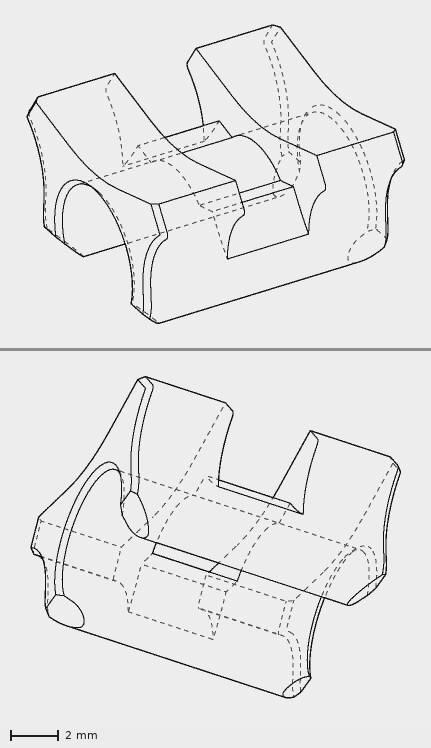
import cadquery as cq
import math

length = 11.99
overhang = 2.4
edge_chamfer = 0.24
foot_chamfer = 1.25
window_length = 3.98

bore_radius = 3.0
bore_z = 2.07

saddle_radius = 8.0
saddle_z = 6.09
wing_slope = math.radians(14.3)
wing_top_x = 5.04
wing_lean = math.radians(34.0)
wing_corner_z = 5.88
wing_corner_radius = 0.25

flank_radius = 3.72
waist_top = (4.36, 2.66)
waist_bottom = (4.41, 1.86)
foot_radius = 1.91
tip_radius = 0.5

window_drop = 2.0
stub_peak_x = 3.09
stub_face_end_x = 3.5
stub_cove_radius = 8.99
stub_cove_sweep = math.radians(10.0)


def toward(start, end, distance):
    """Point at a distance from start in the direction of end."""
    gap = math.dist(start, end)
    return tuple(s + (e - s) * distance / gap for s, e in zip(start, end))


def on_circle(center, radius, angle):
    return (center[0] + radius * math.cos(angle), center[1] + radius * math.sin(angle))


def arc_middle(center, radius, start, end):
    """Middle of the shorter arc between two points on a circle."""
    chord_middle = ((start[0] + end[0]) / 2, (start[1] + end[1]) / 2)
    return toward(center, chord_middle, radius)


def circle_meeting(center_a, radius_a, center_b, radius_b):
    """Lower meeting point of two circles, with center_b to the right of center_a."""
    gap = math.dist(center_a, center_b)
    along = (gap**2 + radius_a**2 - radius_b**2) / (2 * gap)
    bearing = math.atan2(center_b[1] - center_a[1], center_b[0] - center_a[0])
    return on_circle(center_a, radius_a, bearing - math.acos(along / radius_a))


def saddle_end(radius, bottom_z):
    """Point where a saddle arc runs into its straight wing."""
    return (radius * math.sin(wing_slope), bottom_z + radius * (1 - math.cos(wing_slope)))


def along_wing(start, x):
    return (x, start[1] + (x - start[0]) * math.tan(wing_slope))


def symmetric_body(steps, depth, bottom_z, closing_middle=None):
    """Extrude an outline symmetric about X = 0, centered on Y = 0.

    The steps run down the right side as (arc middle or None, end point). The first
    step ends the central top arc, whose lowest point is at bottom_z. The outline
    closes at the last points with an arc through closing_middle, or a line.
    """
    def mirrored(point):
        return (-point[0], point[1])

    top_end = steps[0][1]
    outline = cq.Workplane("XZ", origin=(0, depth / 2, 0)).moveTo(*mirrored(top_end))
    outline = outline.threePointArc((0, bottom_z), top_end)
    for middle, end in steps[1:]:
        outline = outline.threePointArc(middle, end) if middle else outline.lineTo(*end)

    last = mirrored(steps[-1][1])
    if closing_middle:
        outline = outline.threePointArc(closing_middle, last)
    else:
        outline = outline.lineTo(*last)

    for index in range(len(steps) - 1, 0, -1):
        middle = steps[index][0]
        end = mirrored(steps[index - 1][1])
        outline = outline.threePointArc(mirrored(middle), end) if middle else outline.lineTo(*end)
    return outline.close().extrude(depth)


def clip_profile_body():
    bore_center = (0, bore_z)
    wing_start = saddle_end(saddle_radius, saddle_z)
    wing_top = along_wing(wing_start, wing_top_x)

    waist_angle = math.atan2(waist_top[1] - waist_bottom[1], waist_top[0] - waist_bottom[0])
    outward = waist_angle - math.pi / 2
    flank_center = on_circle(waist_top, flank_radius, outward)
    foot_center = on_circle(waist_bottom, -foot_radius, outward)

    tip_center = circle_meeting(
        bore_center, bore_radius + tip_radius, foot_center, foot_radius - tip_radius
    )
    tip_inner = toward(bore_center, tip_center, bore_radius)
    tip_outer = toward(foot_center, tip_center, foot_radius)

    rise = wing_corner_z - flank_center[1]
    wing_corner = (flank_center[0] - math.sqrt(flank_radius**2 - rise**2), wing_corner_z)
    bore_top = (0, bore_z + bore_radius)

    steps = [
        (None, wing_start),
        (None, wing_top),
        (None, wing_corner),
        (arc_middle(flank_center, flank_radius, wing_corner, waist_top), waist_top),
        (None, waist_bottom),
        (arc_middle(foot_center, foot_radius, waist_bottom, tip_outer), tip_outer),
        (arc_middle(tip_center, tip_radius, tip_outer, tip_inner), tip_inner),
    ]
    body = symmetric_body(steps, length, saddle_z, closing_middle=bore_top)
    return body.edges("|Y and (<X or >X)").fillet(wing_corner_radius)


def chamfer_ends(body):
    """Break the end-face edges, except along the saddle top and the foot cut."""
    def is_broken(edge):
        middle = edge.positionAt(0.5)
        if middle.z < foot_chamfer + edge_chamfer and edge.geomType() == "LINE":
            return False
        lowest_top_z = saddle_z + abs(middle.x) * math.tan(wing_slope / 2)
        return middle.z < lowest_top_z - edge_chamfer or abs(middle.x) > wing_top_x

    edges = [edge for edge in body.faces("<Y or >Y").edges().vals() if is_broken(edge)]
    return body.newObject(edges).chamfer(edge_chamfer)


def foot_cutter():
    """Triangular bars that cut the lower corner at each end."""
    end = length / 2
    bar = (
        cq.Workplane("YZ", origin=(-length, 0, 0))
        .moveTo(end - foot_chamfer - overhang, -overhang)
        .lineTo(end + overhang, -overhang)
        .lineTo(end + overhang, foot_chamfer + overhang)
        .close()
        .extrude(2 * length)
    )
    return bar.union(bar.mirror("XZ"))


def window_cutter():
    radius = saddle_radius + window_drop
    bottom_z = saddle_z - window_drop
    slope_start = saddle_end(radius, bottom_z)
    peak = along_wing(slope_start, stub_peak_x)
    face_drop = (stub_face_end_x - stub_peak_x) / math.tan(wing_lean)
    face_end = (stub_face_end_x, peak[1] - face_drop)
    outer_x = wing_top_x + overhang
    outer_z = saddle_z + overhang

    cove_center = on_circle(face_end, stub_cove_radius, wing_lean)
    cove_middle = on_circle(cove_center, -stub_cove_radius, wing_lean + stub_cove_sweep / 2)
    cove_end = on_circle(cove_center, -stub_cove_radius, wing_lean + stub_cove_sweep)

    steps = [
        (None, slope_start),
        (None, peak),
        (None, face_end),
        (cove_middle, cove_end),
        (None, (outer_x, cove_end[1])),
        (None, (outer_x, outer_z)),
    ]
    return symmetric_body(steps, window_length, bottom_z)


clip = clip_profile_body().cut(foot_cutter())
result = chamfer_ends(clip).cut(window_cutter())